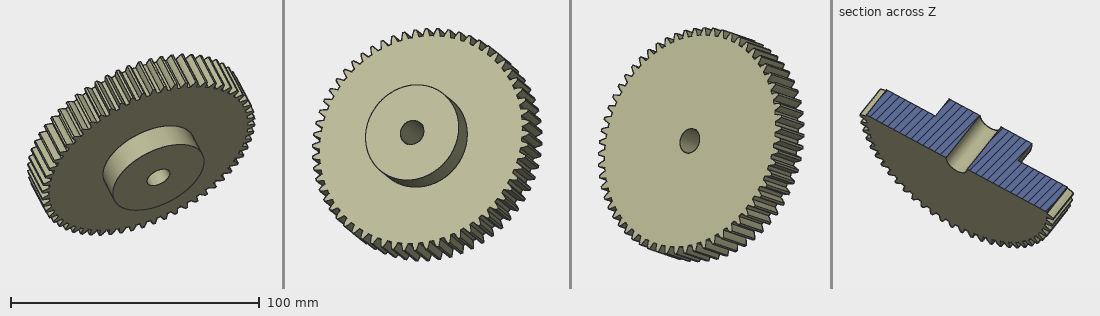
import cadquery as cq
import math

overall_height = 92.9
tooth_count = 60
pressure_angle = math.radians(20.0)
addendum_in_modules = 1.0
dedendum_in_modules = 1.0
gear_width = 15.0
hub_length = 10.0
hub_diameter = 40.0
bore_diameter = 10.0
flank_thinning_degrees = 0.13


def involute(angle):
    """Involute function of a pressure angle."""
    return math.tan(angle) - angle


pitch_radius_in_modules = tooth_count / 2
base_radius_in_modules = pitch_radius_in_modules * math.cos(pressure_angle)
tip_radius_in_modules = pitch_radius_in_modules + addendum_in_modules
root_radius_in_modules = pitch_radius_in_modules - dedendum_in_modules


def half_tooth_angle(radius_in_modules):
    """Angle from the tooth centre line to its flank at the given radius."""
    local_pressure_angle = math.acos(base_radius_in_modules / radius_in_modules)
    half_angle_at_pitch = math.pi / (2 * tooth_count) - math.radians(flank_thinning_degrees)
    return half_angle_at_pitch + involute(pressure_angle) - involute(local_pressure_angle)


tooth_pitch = 2 * math.pi / tooth_count
tip_half_angle = half_tooth_angle(tip_radius_in_modules)
root_half_angle = half_tooth_angle(root_radius_in_modules)
tip_radius = overall_height / 2 / math.cos(tooth_pitch / 2 - tip_half_angle)
module = tip_radius / tip_radius_in_modules
root_radius = root_radius_in_modules * module


def polar(radius, angle):
    """Y and Z of a point at a radius and an angle about the gear axis."""
    return (radius * math.cos(angle), radius * math.sin(angle))


def flank_points(centre_angle, side):
    """Root, pitch and tip points of one flank; side is -1 or +1 about the tooth centre line."""
    points = []
    for radius in (root_radius_in_modules, pitch_radius_in_modules, tip_radius_in_modules):
        flank_angle = centre_angle + side * half_tooth_angle(radius)
        points.append(polar(radius * module, flank_angle))
    return points


def gear_outline():
    """Closed outline of all teeth, each flank made of two flat facets meeting at the pitch circle."""
    first_centre = tooth_pitch / 2
    outline = cq.Workplane("YZ").moveTo(*polar(root_radius, first_centre - root_half_angle))
    for tooth in range(tooth_count):
        centre = first_centre + tooth * tooth_pitch
        rising = flank_points(centre, -1)
        falling = flank_points(centre, 1)[::-1]
        gap_centre = centre + tooth_pitch / 2
        next_root = polar(root_radius, centre + tooth_pitch - root_half_angle)
        outline = outline.lineTo(*rising[1]).lineTo(*rising[2])
        outline = outline.threePointArc(polar(tip_radius, centre), falling[0])
        outline = outline.lineTo(*falling[1]).lineTo(*falling[2])
        outline = outline.threePointArc(polar(root_radius, gap_centre), next_root)
    return outline.close()


gear = gear_outline().extrude(gear_width)
hub = cq.Workplane("YZ").workplane(offset=gear_width).circle(hub_diameter / 2).extrude(hub_length)
bore = cq.Workplane("YZ").circle(bore_diameter / 2).extrude(gear_width + hub_length)

result = gear.union(hub).cut(bore)